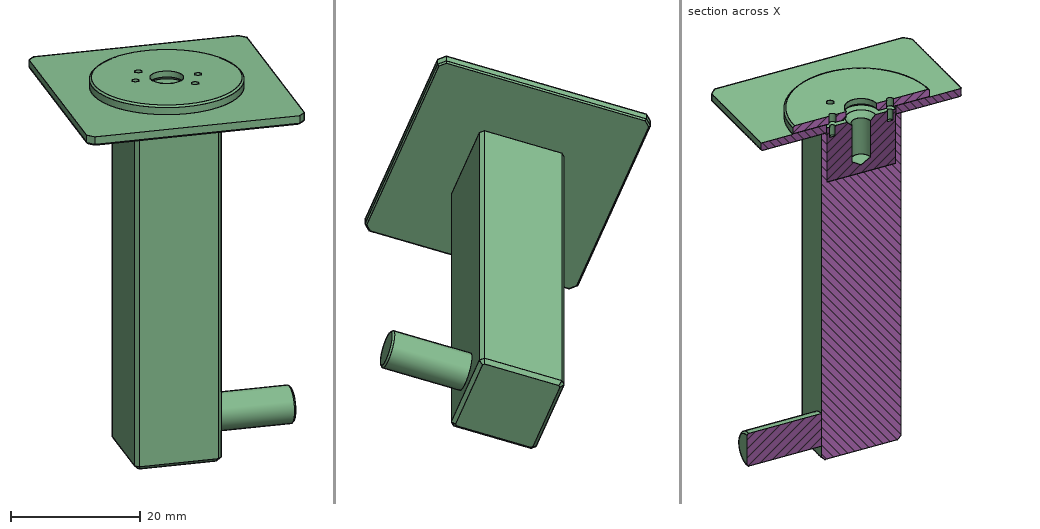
import cadquery as cq
import math

total_height = 62.1

disc_diameter = 24.0
disc_thickness = 1.5
disc_chamfer = 0.3
access_hole_diameter = 5.2
access_hole_chamfer = 0.5

small_hole_circle_radius = 5.0
diagonal_hole_diameter = 1.2
diagonal_hole_angles = (45, 225)
axial_hole_diameter = 1.1
axial_hole_angles = (90, 270)

flange_side = 35.0
flange_thickness = 1.5
flange_corner_chamfer = 1.05
flange_bottom_chamfer = 0.25

insert_diameter = 12.05
insert_length = 9.95
insert_gap_below_disc = 0.5
insert_hole_diameter = 3.15
insert_hole_depth = 7.45
insert_countersink_diameter = 4.95
drill_tip_angle = 118.0
insert_small_hole_diameter = 0.9
insert_small_hole_depth = 1.85

post_side = 14.0
post_chamfer = 0.6

pin_diameter = 6.0
pin_end_y = 20.0
pin_chamfer = 0.3
pin_axis_above_base = 5.6

flange_top = -disc_thickness
post_top = flange_top - flange_thickness
post_bottom = -total_height
insert_top = flange_top - insert_gap_below_disc
insert_bottom = insert_top - insert_length


def cylinder(diameter, bottom, top):
    """Cylinder on the Z axis between two levels."""
    return cq.Workplane("XY").workplane(offset=bottom).circle(diameter / 2).extrude(top - bottom)


def square_block(side, bottom, top):
    """Square block centred on the Z axis between two levels."""
    return cq.Workplane("XY").workplane(offset=bottom).rect(side, side).extrude(top - bottom)


def circle_points(angles):
    """Places of the small holes at the given angles."""
    return [
        (
            small_hole_circle_radius * math.cos(math.radians(angle)),
            small_hole_circle_radius * math.sin(math.radians(angle)),
        )
        for angle in angles
    ]


def small_holes(diameter, angles, bottom, top):
    """Cutting cylinders for small holes between two levels."""
    plane = cq.Workplane("XY").workplane(offset=bottom)
    return plane.pushPoints(circle_points(angles)).circle(diameter / 2).extrude(top - bottom)


def make_disc():
    """Round disc with a central access hole, widened underneath, and four small through holes."""
    body = cylinder(disc_diameter, flange_top, 0).faces(">Z").edges().chamfer(disc_chamfer)
    body = body.cut(cylinder(access_hole_diameter, flange_top, 0))
    body = body.faces("<Z").edges(cq.selectors.RadiusNthSelector(0)).chamfer(access_hole_chamfer)
    body = body.cut(small_holes(diagonal_hole_diameter, diagonal_hole_angles, flange_top, 0))
    return body.cut(small_holes(axial_hole_diameter, axial_hole_angles, flange_top, 0))


def make_flange():
    """Thin square flange with cut corners, a chamfered underside and a round opening."""
    body = square_block(flange_side, post_top, flange_top)
    body = body.edges("|Z").chamfer(flange_corner_chamfer)
    body = body.faces("<Z").edges().chamfer(flange_bottom_chamfer)
    return body.cut(cylinder(insert_diameter, post_top, flange_top))


def make_insert():
    """Round insert with a countersunk blind hole ending in a drill tip, and two small blind holes."""
    hole_radius = insert_hole_diameter / 2
    countersink_radius = insert_countersink_diameter / 2
    countersink_bottom = insert_top - (countersink_radius - hole_radius)
    hole_bottom = insert_top - insert_hole_depth
    tip_length = hole_radius / math.tan(math.radians(drill_tip_angle / 2))
    hole = (
        cq.Workplane("XZ")
        .moveTo(0, insert_top)
        .lineTo(countersink_radius, insert_top)
        .lineTo(hole_radius, countersink_bottom)
        .lineTo(hole_radius, hole_bottom)
        .lineTo(0, hole_bottom - tip_length)
        .close()
        .revolve(360, (0, 0, 0), (0, 1, 0))
    )
    body = cylinder(insert_diameter, insert_bottom, insert_top).cut(hole)
    small_hole_bottom = insert_top - insert_small_hole_depth
    return body.cut(small_holes(insert_small_hole_diameter, axial_hole_angles, small_hole_bottom, insert_top))


def make_post():
    """Square post with chamfered long edges and base, bored from the top for the insert."""
    body = square_block(post_side, post_bottom, post_top)
    body = body.edges("|Z").chamfer(post_chamfer)
    body = body.faces("<Z").edges().chamfer(post_chamfer)
    return body.cut(cylinder(insert_diameter, insert_bottom, post_top))


def make_pin():
    """Round pin standing on the +Y face of the post, chamfered at its free end."""
    post_face_y = post_side / 2
    base = cq.Workplane("XZ", origin=(0, post_face_y, post_bottom + pin_axis_above_base))
    body = base.circle(pin_diameter / 2).extrude(post_face_y - pin_end_y)
    return body.faces(">Y").edges().chamfer(pin_chamfer)


disc = make_disc()
flange = make_flange()
insert = make_insert()
post = make_post()
pin = make_pin()

result = cq.Compound.makeCompound([disc.val(), flange.val(), insert.val(), post.val(), pin.val()])